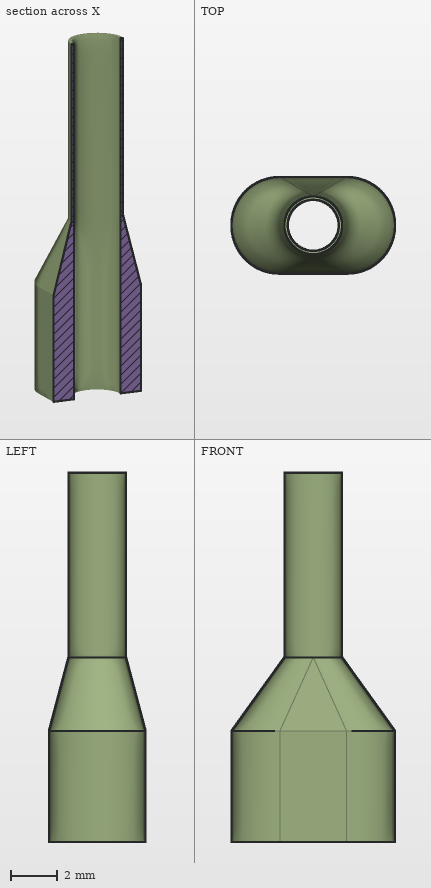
import cadquery as cq

total_height = 16.0
collar_height = 8.0
skirt_height = 4.8

skirt_length = 7.1
skirt_width = 4.2
skirt_radius = skirt_width / 2
half_straight = skirt_length / 2 - skirt_radius

barrel_radius = 1.25
bore_radius = 1.1
neck_radius = barrel_radius


def half_disc(center_x, z, radius, side):
    """Half disc bulging toward side (+1 or -1) along X, its flat edge at center_x."""
    return (
        cq.Workplane("XY", origin=(center_x, 0, z))
        .moveTo(0, -radius)
        .threePointArc((side * radius, 0), (0, radius))
        .close()
        .wires()
        .val()
    )


def make_taper_end(side):
    """Slanted half cone joining one rounded end of the skirt to half of the neck."""
    lower = half_disc(side * half_straight, skirt_height, skirt_radius, side)
    upper = half_disc(0, collar_height, neck_radius, side)
    return cq.Workplane(cq.Solid.makeLoft([lower, upper], True))


def make_taper_middle():
    """Wedge between the half cones, leaving one flat triangle on each broad side."""
    triangle = (
        cq.Workplane("XZ")
        .polyline([(-half_straight, skirt_height), (half_straight, skirt_height), (0, collar_height)])
        .close()
        .extrude(skirt_radius, both=True)
    )
    trapezoid = (
        cq.Workplane("YZ")
        .polyline([
            (-skirt_radius, skirt_height),
            (skirt_radius, skirt_height),
            (neck_radius, collar_height),
            (-neck_radius, collar_height),
        ])
        .close()
        .extrude(half_straight, both=True)
    )
    return triangle.intersect(trapezoid)


def make_collar():
    """Racetrack skirt and taper, bored through in line with the barrel."""
    collar = cq.Workplane("XY").slot2D(skirt_length, skirt_width).extrude(skirt_height)
    collar = collar.union(make_taper_middle())
    for side in (-1, 1):
        collar = collar.union(make_taper_end(side))
    bore = cq.Workplane("XY").circle(bore_radius).extrude(collar_height)
    return collar.cut(bore)


def make_barrel():
    """Open tube from the top of the collar to the tip."""
    return (
        cq.Workplane("XY", origin=(0, 0, collar_height))
        .circle(barrel_radius)
        .circle(bore_radius)
        .extrude(total_height - collar_height)
    )


collar = make_collar()
barrel = make_barrel()

result = cq.Compound.makeCompound([*collar.solids().vals(), barrel.val()])